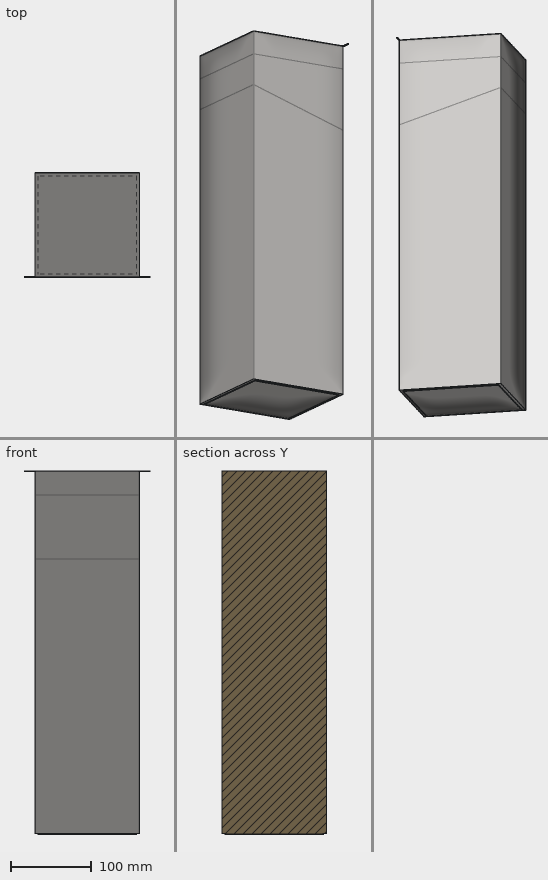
import cadquery as cq

total_height = 451
body_side = 130.0
flange_length = 155.0
corner_radius = 0.68
sheet = 1.0
foot_inset = 4.0
collar_depth = 29.8
slope_depth_back = 69.5
slope_depth_front = 109.0

half_side = body_side / 2
front_y = -half_side
back_y = half_side
top_z = total_height
plate_z = top_z - sheet
collar_z = top_z - collar_depth
slope_back_z = top_z - slope_depth_back
slope_front_z = top_z - slope_depth_front


def column_section(bottom_front, bottom_back, top_front, top_back):
    """Full-width length of the column, its ends given by heights at the front and back faces."""
    side_outline = [
        (front_y, bottom_front),
        (back_y, bottom_back),
        (back_y, top_back),
        (front_y, top_front),
    ]
    section = cq.Workplane("YZ").polyline(side_outline).close().extrude(half_side, both=True)
    return section.edges("|Z").fillet(corner_radius)


def foot_plate():
    """Thin square plate under the column, set in from its sides."""
    foot_side = body_side - 2 * foot_inset
    return cq.Workplane("XY").rect(foot_side, foot_side).extrude(sheet)


def flange_strip():
    """Thin strip flush with the top and front faces, overhanging both sides."""
    return (
        cq.Workplane("XY", origin=(0, front_y + sheet / 2, plate_z))
        .rect(flange_length, sheet)
        .extrude(sheet)
    )


lower_column = column_section(sheet, sheet, slope_front_z, slope_back_z)
upper_column = column_section(slope_front_z, slope_back_z, collar_z, collar_z)
collar = column_section(collar_z, collar_z, plate_z, plate_z)
top_plate = column_section(plate_z, plate_z, top_z, top_z)

result = foot_plate()
for section in (lower_column, upper_column, collar, top_plate, flange_strip()):
    result = result.union(section, clean=False)